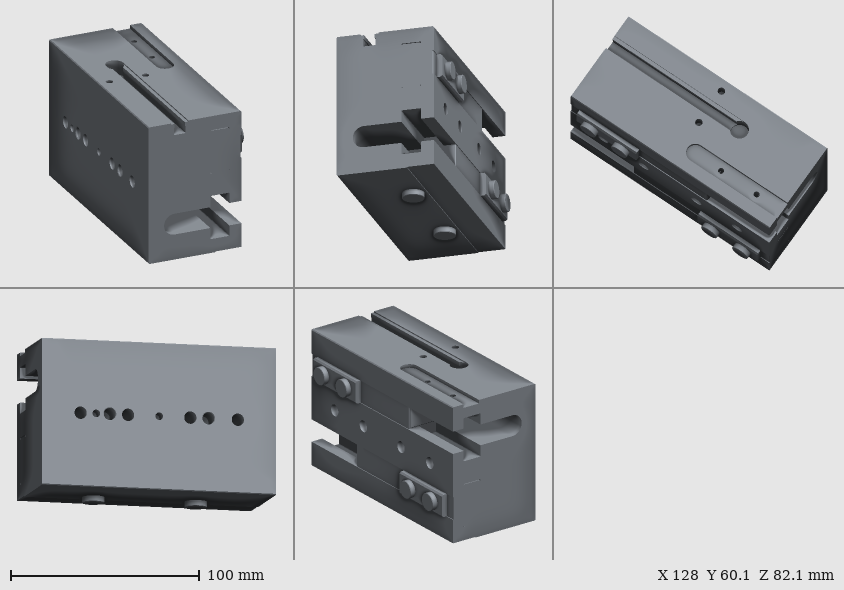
import cadquery as cq
import math


LENGTH = 128.0
DEPTH = 54.0
HEIGHT = 79.0
EDGE_CHAMFER = 0.5
MID_X = LENGTH / 2
MID_Z = HEIGHT / 2

SLOT_PITCH = 38.0
SLOT_HEIGHTS = (MID_Z - SLOT_PITCH / 2, MID_Z + SLOT_PITCH / 2)
NECK_WIDTH = 12.9
FLANGE_SLOT_WIDTH = 25.0
SLOT_CORNER_CHAMFER = 0.3
FLANGE_OUTER_Y = DEPTH - 7.0
FLANGE_INNER_Y = DEPTH - 18.0

POCKET_WIDTH = 12.0
POCKET_TIP_Y = 9.1
POCKET_LENGTH = MID_X

JAW_TOP_CLEARANCE = 0.4
JAW_CORNER_CHAMFER = 0.6
JAW_FACE_Y = DEPTH - 0.4
JAW_END_CHAMFER = 0.4
TONGUE_LEAD = 0.4
TONGUE_START = 40.0
JAW_START = TONGUE_START + TONGUE_LEAD
TONGUE_TIP_Y = 11.0
TONGUE_OUTER_Y = 52.5
PAD_LENGTH = 38.4
PAD_CENTER = 25.0
PAD_FACE_Y = DEPTH + 3.0
PAD_CHAMFER = 0.9

PIN_CHAMFER = 0.3
JAW_PIN_DIAMETER = 10.0
JAW_PIN_HEIGHT = 3.1
JAW_PIN_SPACING = 20.0
BASE_PIN_DIAMETER = 12.0
BASE_PIN_HEIGHT = 3.1
BASE_PIN_SPACING = 56.0
BASE_PIN_Y = 31.5

CHANNEL_WIDTH = 10.0
CHANNEL_Y = 42.0
CHANNEL_END = 60.9
CHANNEL_DEPTH = 2.0
CHANNEL_HOLE_DIAMETER = 3.2
CHANNEL_HOLES_X = (16.5, 39.4)

SENSOR_Y = 18.2
SENSOR_START = 44.0
SENSOR_SHELF_WIDTH = 10.0
SENSOR_SHELF_DEPTH = 0.6
SENSOR_MOUTH_WIDTH = 5.9
SENSOR_LIP_DEPTH = 3.0
SENSOR_UNDERCUT_WIDTH = 6.9
SENSOR_DEPTH = 7.0
SENSOR_ENTRY_DEPTH = 8.0

DRILL_TIP_ANGLE = 118
TOP_HOLE_DIAMETER = 4.0
TOP_HOLE_DEPTH = 7.7
TOP_HOLES_Y = (6.1, 27.1)
THROUGH_DIAMETER = 6.7
THROUGH_OFFSETS = (17.0, 43.0)
THREAD_DIAMETER = 6.4
THREAD_RIM_DIAMETER = 7.2
THREAD_DEPTH = 12.8
THREAD_OFFSET = 27.0
DOWEL_HOLE_DIAMETER = 4.1
DOWEL_HOLE_DEPTH = 7.7
DOWEL_HOLES_X = (29.6, MID_X)

RELIEF_START_Y = 39.0
RELIEF_DEPTH = 0.4


def box_between(low, high):
    """Axis-aligned box from its lowest to its highest corner."""
    size = [b - a for a, b in zip(low, high)]
    return cq.Workplane("XY").box(*size, centered=False).translate(low)


def round_bar(start, direction, diameter, length):
    """Cylinder starting at a point and running along a direction."""
    return cq.Workplane(cq.Solid.makeCylinder(diameter / 2, length, cq.Vector(start), cq.Vector(direction)))


def drilled_hole(start, direction, diameter, depth):
    """Blind hole cutter with a conical drill tip."""
    radius = diameter / 2
    tip = radius / math.tan(math.radians(DRILL_TIP_ANGLE / 2))
    axis = cq.Vector(direction)
    cone_start = cq.Vector(start) + axis * depth
    cone = cq.Workplane(cq.Solid.makeCone(radius, 0, tip, cone_start, axis))
    return round_bar(start, direction, diameter, depth).union(cone)


def mirror_for(slot_z, body):
    """Leave the upper slot's shapes as built and turn the lower slot's end for end."""
    if slot_z < MID_Z:
        return body.mirror("YZ", (MID_X, 0, 0))
    return body


def pocket_shape(slot_z, start_x, end_x):
    """Bar with a half-round inner end, as deep as the housing pocket."""
    radius = POCKET_WIDTH / 2
    arc_y = POCKET_TIP_Y + radius
    return (
        cq.Workplane("YZ", origin=(start_x, 0, slot_z))
        .moveTo(DEPTH, -radius)
        .lineTo(arc_y, -radius)
        .threePointArc((POCKET_TIP_Y, 0), (arc_y, radius))
        .lineTo(DEPTH, radius)
        .close()
        .extrude(end_x - start_x)
    )


def t_slot(slot_z):
    """T-slot cutter through the whole length, with the flange corners chamfered."""
    neck = box_between(
        (0, FLANGE_OUTER_Y, slot_z - NECK_WIDTH / 2),
        (LENGTH, DEPTH, slot_z + NECK_WIDTH / 2),
    )
    flange = box_between(
        (0, FLANGE_INNER_Y, slot_z - FLANGE_SLOT_WIDTH / 2),
        (LENGTH, FLANGE_OUTER_Y, slot_z + FLANGE_SLOT_WIDTH / 2),
    )
    flange = flange.edges("|X").chamfer(SLOT_CORNER_CHAMFER)
    return neck.union(flange)


def top_channel():
    """Round-ended channel with two holes down into the upper T-slot."""
    radius = CHANNEL_WIDTH / 2
    arc_x = CHANNEL_END - radius
    floor_z = HEIGHT - CHANNEL_DEPTH
    cutter = box_between((0, CHANNEL_Y - radius, floor_z), (arc_x, CHANNEL_Y + radius, HEIGHT))
    cutter = cutter.union(round_bar((arc_x, CHANNEL_Y, floor_z), (0, 0, 1), CHANNEL_WIDTH, CHANNEL_DEPTH))
    hole_length = floor_z - SLOT_HEIGHTS[1]
    for x in CHANNEL_HOLES_X:
        hole = round_bar((x, CHANNEL_Y, floor_z), (0, 0, -1), CHANNEL_HOLE_DIAMETER, hole_length)
        cutter = cutter.union(hole)
    return cutter


def sensor_slot():
    """Stepped slot open at the far end, wider below its lips than at its mouth."""
    layers = (
        (SENSOR_SHELF_WIDTH, 0, SENSOR_SHELF_DEPTH),
        (SENSOR_MOUTH_WIDTH, SENSOR_SHELF_DEPTH, SENSOR_LIP_DEPTH),
        (SENSOR_UNDERCUT_WIDTH, SENSOR_LIP_DEPTH, SENSOR_DEPTH),
    )
    cutter = round_bar((SENSOR_START, SENSOR_Y, HEIGHT), (0, 0, -1), SENSOR_SHELF_WIDTH, SENSOR_ENTRY_DEPTH)
    for width, top, bottom in layers:
        layer = box_between(
            (SENSOR_START, SENSOR_Y - width / 2, HEIGHT - bottom),
            (LENGTH, SENSOR_Y + width / 2, HEIGHT - top),
        )
        cutter = cutter.union(layer)
    return cutter


def threaded_hole(x):
    """Blind hole with a 45-degree countersunk rim."""
    rim_depth = (THREAD_RIM_DIAMETER - THREAD_DIAMETER) / 2
    rim = cq.Solid.makeCone(
        THREAD_RIM_DIAMETER / 2, THREAD_DIAMETER / 2, rim_depth, cq.Vector(x, 0, MID_Z), cq.Vector(0, 1, 0)
    )
    return drilled_hole((x, 0, MID_Z), (0, 1, 0), THREAD_DIAMETER, THREAD_DEPTH).union(cq.Workplane(rim))


def make_housing():
    body = box_between((0, 0, 0), (LENGTH, DEPTH, HEIGHT))
    body = body.edges("|X").chamfer(EDGE_CHAMFER)
    for slot_z in SLOT_HEIGHTS:
        body = body.cut(t_slot(slot_z))
        body = body.cut(mirror_for(slot_z, pocket_shape(slot_z, 0, POCKET_LENGTH)))
    body = body.cut(top_channel())
    body = body.cut(sensor_slot())
    for y in TOP_HOLES_Y:
        body = body.cut(drilled_hole((MID_X, y, HEIGHT), (0, 0, -1), TOP_HOLE_DIAMETER, TOP_HOLE_DEPTH))
    for side in (-1, 1):
        for offset in THROUGH_OFFSETS:
            start = (MID_X + side * offset, 0, MID_Z)
            body = body.cut(round_bar(start, (0, 1, 0), THROUGH_DIAMETER, DEPTH))
        body = body.cut(threaded_hole(MID_X + side * THREAD_OFFSET))
    for x in DOWEL_HOLES_X:
        body = body.cut(drilled_hole((x, 0, MID_Z), (0, 1, 0), DOWEL_HOLE_DIAMETER, DOWEL_HOLE_DEPTH))
    relief = box_between((0, RELIEF_START_Y, 0), (LENGTH, DEPTH, RELIEF_DEPTH))
    return body.cut(relief)


def make_jaw(slot_z):
    """T-section jaw with a tongue into the pocket and a raised pad for two pins."""
    flange_bottom = slot_z - FLANGE_SLOT_WIDTH / 2
    flange_top = slot_z + FLANGE_SLOT_WIDTH / 2 - JAW_TOP_CLEARANCE
    flange = box_between(
        (JAW_START, FLANGE_INNER_Y, flange_bottom),
        (LENGTH, FLANGE_OUTER_Y, flange_top),
    )
    flange = flange.edges("|X").chamfer(JAW_CORNER_CHAMFER)
    stem = box_between(
        (JAW_START, FLANGE_INNER_Y, slot_z - NECK_WIDTH / 2),
        (LENGTH, JAW_FACE_Y, slot_z + NECK_WIDTH / 2),
    )
    stem = stem.faces(">Y").edges("|Z").chamfer(JAW_END_CHAMFER)
    tongue_limits = box_between(
        (TONGUE_START, TONGUE_TIP_Y, slot_z - POCKET_WIDTH / 2),
        (POCKET_LENGTH, TONGUE_OUTER_Y, slot_z + POCKET_WIDTH / 2),
    )
    tongue_limits = tongue_limits.faces("<X").edges("|Y").chamfer(TONGUE_LEAD)
    tongue = pocket_shape(slot_z, TONGUE_START, POCKET_LENGTH).intersect(tongue_limits)
    pad_x = LENGTH - PAD_CENTER
    pad = box_between(
        (pad_x - PAD_LENGTH / 2, FLANGE_OUTER_Y, slot_z - NECK_WIDTH / 2),
        (pad_x + PAD_LENGTH / 2, PAD_FACE_Y, slot_z + NECK_WIDTH / 2),
    )
    pad = pad.faces(">Y").edges("|X").chamfer(PAD_CHAMFER)
    return mirror_for(slot_z, flange.union(stem).union(tongue).union(pad))


def make_pin(seat, direction, diameter, height):
    """Round pin standing on its seat, with a chamfered free end."""
    straight_height = height - PIN_CHAMFER
    axis = cq.Vector(direction)
    rim_start = cq.Vector(seat) + axis * straight_height
    rim = cq.Solid.makeCone(diameter / 2, diameter / 2 - PIN_CHAMFER, PIN_CHAMFER, rim_start, axis)
    return round_bar(seat, direction, diameter, straight_height).union(cq.Workplane(rim))


housing = make_housing()
jaws = [make_jaw(slot_z) for slot_z in SLOT_HEIGHTS]

jaw_pins = []
for slot_z in SLOT_HEIGHTS:
    for side in (-1, 1):
        x = LENGTH - PAD_CENTER + side * JAW_PIN_SPACING / 2
        pin = make_pin((x, PAD_FACE_Y, slot_z), (0, 1, 0), JAW_PIN_DIAMETER, JAW_PIN_HEIGHT)
        jaw_pins.append(mirror_for(slot_z, pin))

base_pins = []
for side in (-1, 1):
    x = MID_X + side * BASE_PIN_SPACING / 2
    base_pins.append(
        make_pin((x, BASE_PIN_Y, 0), (0, 0, -1), BASE_PIN_DIAMETER, BASE_PIN_HEIGHT)
    )

bodies = [housing, *jaws, *jaw_pins, *base_pins]
result = cq.Compound.makeCompound([body.val() for body in bodies])